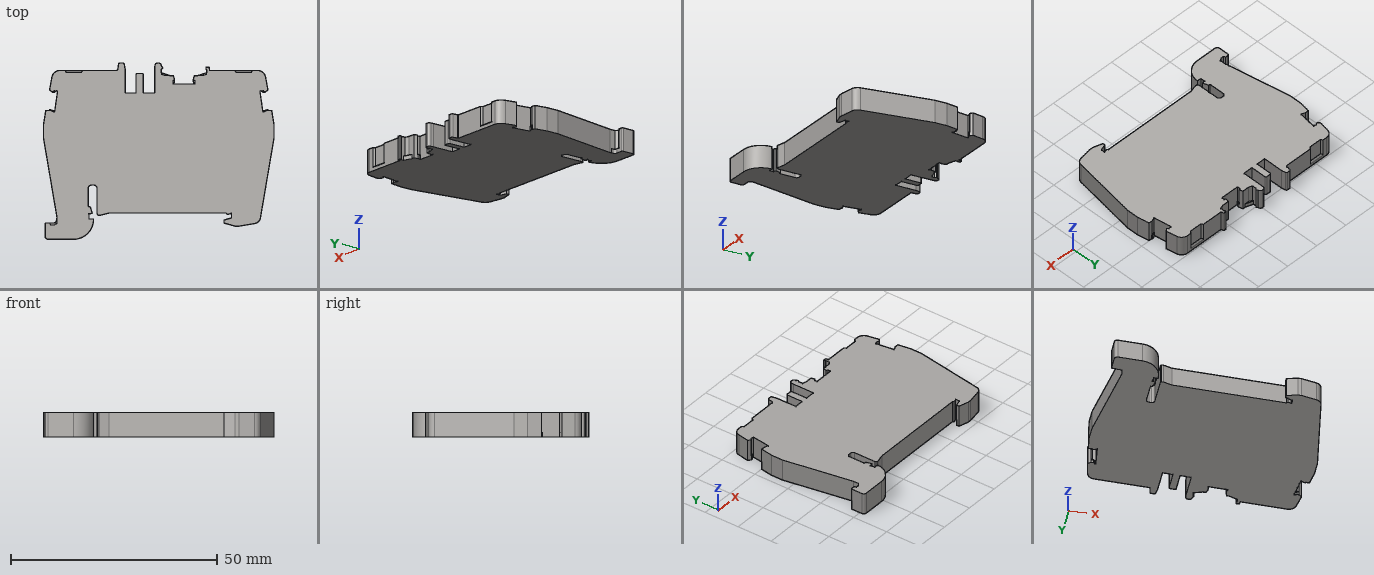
import math

import cadquery as cq

THICKNESS = 6.0
WEB_HEIGHT = 1.1
HALF_WIDTH = 27.95
TOTAL_DEPTH = 42.8
TOP_EDGE = 41.0
RAIL_EDGE = 6.4

FLANK_SLOPE = 0.17
FLANK_FOOT_Y = 5.5
FLANK_WIDE_Y = 24.55
FLANK_NARROW_Y = 27.9
SHOULDER_X = 27.4
SHOULDER_Y = 31.3
LIP_X = 26.5
LIP_Y = 36.25
NOTCH_BOTTOM = (25.3, 30.85)
NOTCH_TOP = (24.55, 35.95)
LIP_TIP = (25.8, 35.7)
LIP_UNDERCUT = (25.35, 36.05)
TOP_CORNER_X = 25.6
TOP_CORNER_RADIUS = 2.0

RECESS_INNER_X = 18.45
RECESS_OUTER_X = 22.7
RECESS_DEPTH = 0.55
RECESS_END_SLOPE = 0.35
RECESS_WEB_ROUNDING = 0.3

SLOT_FLOOR = 35.5
SLOT_LEFT = -8.1
SLOT_RIGHT = -1.0
POST_LEFT = -5.55
POST_RIGHT = -3.75
POST_TOP = 40.25
POST_ROUNDING = 0.35
RIB_SHOULDER_Y = 41.25
RIB_ROUNDING = 0.4
RIB_TWO_ROUNDING = 0.65

POCKET_MIDDLE = 6.1
POCKET_HALF_WIDTH = 5.5
POCKET_LEDGE_Y = 39.7
POCKET_CORNER_Y = 40.05
POCKET_FLOOR = 37.7
POCKET_FLOOR_HALF = 2.7
POCKET_TOOTH_HALF = 2.25
POCKET_TOOTH_Y = 38.7
POCKET_MOUTH_Y = 41.15
POCKET_UNDERCUT_Y = 38.5
CATCH_TOP = 41.8
CATCH_LEFT = 11.4
CATCH_ROUNDING = 0.3

RAIL_SLOT_LEFT = -17.05
RAIL_SLOT_RIGHT = -15.0
RAIL_SLOT_TOP = 13.15
RAIL_SLOT_ROUNDING = 0.7
RAIL_LEDGE_Y = 5.8
FOOT_RECESS_Y = 3.45
FOOT_SHELF_X = -16.9
FOOT_SHELF_Y = 5.0
FOOT_LEFT = -27.55
FOOT_TOP = 4.0
FOOT_CORNER_RADIUS = 0.8
FOOT_TOP_ROUNDING = 0.35
FOOT_HEEL_X = -15.75
FOOT_HEEL_RADIUS = 4.9

HOOK_TIP_X = 15.75
HOOK_THROAT_X = 17.6
HOOK_BOTTOM = 3.2
HOOK_CORNER_Y = 4.0
HOOK_CORNER_RADIUS = 1.8


def mirrored(points, middle=0.0):
    """Mirror points about the line X = middle and reverse them, so that a path stays in order."""
    return [(2 * middle - x, *rest) for x, *rest in reversed(points)]


def rounded_outline(points):
    """Closed outline through (x, y) corners; a third number rounds that corner to this radius."""
    corners = []
    for i, (x, y, *radius) in enumerate(points):
        here = cq.Vector(x, y)
        if not radius:
            corners.append((here,))
            continue
        to_last = (cq.Vector(*points[i - 1][:2]) - here).normalized()
        to_next = (cq.Vector(*points[(i + 1) % len(points)][:2]) - here).normalized()
        half_angle = to_last.getAngle(to_next) / 2
        trim = radius[0] / math.tan(half_angle)
        reach = radius[0] / math.sin(half_angle) - radius[0]
        middle = here + (to_last + to_next).normalized() * reach
        corners.append((here + to_last * trim, middle, here + to_next * trim))

    path = cq.Workplane("XY").moveTo(*corners[0][-1].toTuple()[:2])
    for corner in corners[1:] + corners[:1]:
        path = path.lineTo(*corner[0].toTuple()[:2])
        if len(corner) == 3:
            path = path.threePointArc(*[p.toTuple()[:2] for p in corner[1:]])
    return path.close()


def flank_x(y):
    """Half width of the plate on the tapering lower flank."""
    return HALF_WIDTH - FLANK_SLOPE * (FLANK_WIDE_Y - y)


def right_flank():
    """From the widest point up around the lip to the back edge, ending past its recess."""
    return [
        (HALF_WIDTH, FLANK_WIDE_Y),
        (HALF_WIDTH, FLANK_NARROW_Y),
        (SHOULDER_X, SHOULDER_Y),
        (26.35, SHOULDER_Y),
        NOTCH_BOTTOM,
        NOTCH_TOP,
        LIP_UNDERCUT,
        LIP_TIP,
        (LIP_X, LIP_Y),
        (TOP_CORNER_X, TOP_EDGE, TOP_CORNER_RADIUS),
        (RECESS_OUTER_X, TOP_EDGE),
        (RECESS_OUTER_X - RECESS_END_SLOPE, TOP_EDGE - RECESS_DEPTH),
        (RECESS_INNER_X + RECESS_END_SLOPE, TOP_EDGE - RECESS_DEPTH),
        (RECESS_INNER_X, TOP_EDGE),
    ]


def pocket_right_half():
    """Right half of the latch pocket, from its outer wall to its floor."""
    middle = POCKET_MIDDLE
    return [
        (middle + POCKET_HALF_WIDTH, POCKET_CORNER_Y),
        (middle + 4.4, POCKET_LEDGE_Y),
        (middle + 2.5, POCKET_LEDGE_Y),
        (middle + POCKET_TOOTH_HALF, POCKET_TOOTH_Y),
        (middle + POCKET_FLOOR_HALF, POCKET_UNDERCUT_Y),
        (middle + POCKET_FLOOR_HALF, POCKET_FLOOR),
    ]


def back_edge():
    """Catch, latch pocket, two ribs and the post between them, from right to left."""
    pocket_right = POCKET_MIDDLE + POCKET_HALF_WIDTH
    pocket_left = POCKET_MIDDLE - POCKET_HALF_WIDTH
    catch = [
        (12.35, TOP_EDGE),
        (12.25, CATCH_TOP, CATCH_ROUNDING),
        (CATCH_LEFT, CATCH_TOP),
        (CATCH_LEFT, 41.25),
        (pocket_right, POCKET_MOUTH_Y),
    ]
    rib_two = [
        (pocket_left, POCKET_MOUTH_Y),
        (1.0, 41.55),
        (0.65, 42.05),
        (0.6, TOTAL_DEPTH, RIB_TWO_ROUNDING),
        (-0.9, TOTAL_DEPTH, RIB_TWO_ROUNDING),
        (SLOT_RIGHT, 41.5),
        (SLOT_RIGHT, SLOT_FLOOR),
    ]
    post = [
        (POST_RIGHT, SLOT_FLOOR),
        (POST_RIGHT, POST_TOP, POST_ROUNDING),
        (POST_LEFT, POST_TOP, POST_ROUNDING),
        (POST_LEFT, SLOT_FLOOR),
    ]
    rib_one = [
        (SLOT_LEFT, SLOT_FLOOR),
        (SLOT_LEFT, RIB_SHOULDER_Y),
        (-8.4, TOTAL_DEPTH, RIB_ROUNDING),
        (-9.75, TOTAL_DEPTH, RIB_ROUNDING),
        (-9.95, RIB_SHOULDER_Y),
        (-10.1, TOP_EDGE),
    ]
    pocket = pocket_right_half() + mirrored(pocket_right_half(), POCKET_MIDDLE)
    return catch + pocket + rib_two + post + rib_one


def foot_and_rail_slot():
    """From the left flank down around the foot and up through the rail slot to the rail edge."""
    foot = [
        (-flank_x(FLANK_FOOT_Y), FLANK_FOOT_Y),
        (-24.65, 3.9),
        (-25.4, FOOT_RECESS_Y),
        (-26.2, FOOT_RECESS_Y),
        (-26.4, FOOT_TOP),
        (FOOT_LEFT, FOOT_TOP, FOOT_TOP_ROUNDING),
        (FOOT_LEFT, 0, FOOT_CORNER_RADIUS),
        (FOOT_HEEL_X, 0, FOOT_HEEL_RADIUS),
        (FOOT_HEEL_X, FOOT_SHELF_Y),
        (FOOT_SHELF_X, FOOT_SHELF_Y),
    ]
    barb = [
        (FOOT_SHELF_X, 6.05),
        (RAIL_SLOT_LEFT, 6.25),
        (-16.6, 6.15),
        (-16.1, 6.4),
        (-16.55, 7.9),
        (RAIL_SLOT_LEFT, 8.0),
    ]
    slot = [
        (RAIL_SLOT_LEFT, RAIL_SLOT_TOP, RAIL_SLOT_ROUNDING),
        (RAIL_SLOT_RIGHT, RAIL_SLOT_TOP, RAIL_SLOT_ROUNDING),
        (RAIL_SLOT_RIGHT, 6.2),
        (-14.7, RAIL_LEDGE_Y),
        (-14.3, RAIL_LEDGE_Y),
        (-12.1, RAIL_EDGE),
    ]
    return foot + barb + slot


def hook():
    """Small barb at the end of the rail edge, then the hook around to the right flank."""
    return [
        (16.35, RAIL_EDGE),
        (16.6, 6.05),
        (17.35, 6.2),
        (HOOK_THROAT_X, RAIL_EDGE),
        (HOOK_THROAT_X, 5.25),
        (HOOK_TIP_X, 4.7),
        (HOOK_TIP_X, 3.95),
        (18.5, HOOK_BOTTOM),
        (19.4, HOOK_BOTTOM),
        (flank_x(HOOK_CORNER_Y), HOOK_CORNER_Y, HOOK_CORNER_RADIUS),
    ]


def web(points):
    """Thin web standing on the bottom face."""
    return rounded_outline(points).extrude(WEB_HEIGHT)


def recess_web():
    """Web closing the right back-edge recess near the bottom, rounded along its upper edge."""
    outline = [
        (RECESS_OUTER_X, TOP_EDGE),
        (RECESS_OUTER_X - RECESS_END_SLOPE, TOP_EDGE - 2 * RECESS_DEPTH),
        (RECESS_INNER_X + RECESS_END_SLOPE, TOP_EDGE - 2 * RECESS_DEPTH),
        (RECESS_INNER_X, TOP_EDGE),
    ]
    return web(outline).faces(">Y").edges(">Z").fillet(RECESS_WEB_ROUNDING)


LIP_WEB = [
    LIP_TIP,
    (25.2, 35.7),
    (24.85, 35.95),
    (24.85, 36.45),
    (25.8, 36.45),
]
SHOULDER_WEB = [
    (26.5, SHOULDER_Y),
    (26.4, 31.55),
    (25.3, 31.1),
    (25.15, 30.65),
    (26.5, 30.65),
]
LEDGE_WEB = [
    (POCKET_MIDDLE + POCKET_HALF_WIDTH, 40.45),
    (POCKET_MIDDLE + 3.3, POCKET_LEDGE_Y),
    (POCKET_MIDDLE + 3.3, 39.15),
    (POCKET_MIDDLE + POCKET_HALF_WIDTH + 0.3, 39.15),
    (POCKET_MIDDLE + POCKET_HALF_WIDTH + 0.3, 40.45),
]
TOOTH_WEB = [
    (POCKET_MIDDLE + POCKET_TOOTH_HALF, POCKET_TOOTH_Y),
    (POCKET_MIDDLE + POCKET_TOOTH_HALF, 38.3),
    (POCKET_MIDDLE + 2.45, POCKET_FLOOR),
    (POCKET_MIDDLE + 2.95, POCKET_FLOOR),
    (POCKET_MIDDLE + 2.95, 38.9),
]
FOOT_WEB = [
    (-26.5, FOOT_TOP),
    (-24.85, FOOT_TOP, 0.65),
    (-24.8, 5.05),
    (-24.3, 5.05),
    (-24.3, 3.15),
    (-26.5, 3.15),
]

plate = rounded_outline(
    right_flank() + back_edge() + mirrored(right_flank()) + foot_and_rail_slot() + hook()
).extrude(THICKNESS)

result = plate.union(web(FOOT_WEB))
for outline in (LIP_WEB, SHOULDER_WEB):
    result = result.union(web(outline)).union(web(mirrored(outline)))
for outline in (LEDGE_WEB, TOOTH_WEB):
    result = result.union(web(outline)).union(web(mirrored(outline, POCKET_MIDDLE)))
result = result.union(recess_web()).union(recess_web().mirror("YZ"))